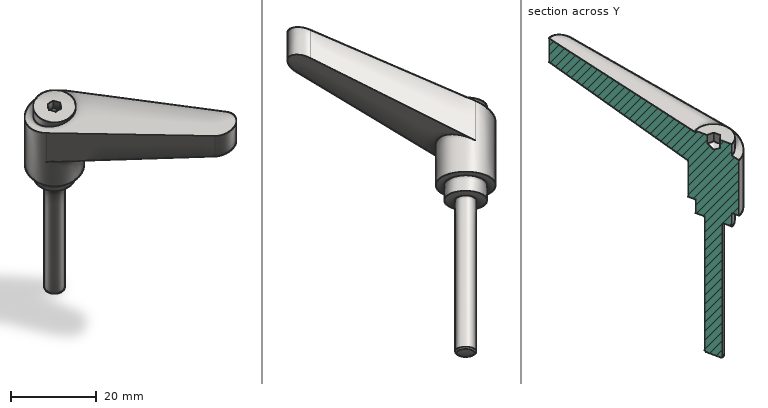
import cadquery as cq
import math

stud_diameter = 5.0
stud_length = 40.0
stud_chamfer = 0.4

collar_diameter = 10.0
collar_height = 4.0

hub_radius = 7.0

arm_reach = 45.0
arm_tip_radius = 4.0
arm_tip_top = 35.69
arm_tip_height = 7.15
arm_top_angle = 16.25
arm_bottom_angle = 20.0

cap_diameter = 10.0
cap_top = 24.5

hex_sides = 6
hex_across_flats = 3.0
hex_depth = 2.5
hex_floor_angle = 118.0

tip_center_x = arm_reach - arm_tip_radius
taper_sine = (hub_radius - arm_tip_radius) / tip_center_x
taper_cosine = math.sqrt(1 - taper_sine**2)
hex_across_corners = hex_across_flats / math.cos(math.pi / hex_sides)


def arm_top(x):
    """Height of the sloping top face at x."""
    return arm_tip_top - (arm_reach - x) * math.tan(math.radians(arm_top_angle))


def arm_bottom(x):
    """Height of the sloping bottom face at x."""
    drop = (arm_reach - x) * math.tan(math.radians(arm_bottom_angle))
    return arm_tip_top - arm_tip_height - drop


def cylinder(diameter, bottom, top):
    return cq.Workplane("XY").workplane(offset=bottom).circle(diameter / 2).extrude(top - bottom)


def side_profile(points):
    """Prism through the full width of the hub from an outline in the XZ plane."""
    return cq.Workplane("XZ").polyline(points).close().extrude(hub_radius, both=True)


def make_stud():
    return cylinder(stud_diameter, -stud_length, 0).faces("<Z").chamfer(stud_chamfer)


def make_hub():
    """Round hub cut off on top by the slope of the arm."""
    column = cylinder(2 * hub_radius, collar_height, arm_tip_top)
    slope = side_profile([
        (-hub_radius, collar_height),
        (hub_radius, collar_height),
        (hub_radius, arm_top(hub_radius)),
        (-hub_radius, arm_top(-hub_radius)),
    ])
    return column.intersect(slope)


def make_arm():
    """Arm with tangent tapering sides, from the tangent line on the hub to the round tip."""
    hub_x = hub_radius * taper_sine
    hub_y = hub_radius * taper_cosine
    tip_x = tip_center_x + arm_tip_radius * taper_sine
    tip_y = arm_tip_radius * taper_cosine
    plan = (
        cq.Workplane("XY")
        .moveTo(hub_x, -hub_y)
        .lineTo(tip_x, -tip_y)
        .threePointArc((arm_reach, 0), (tip_x, tip_y))
        .lineTo(hub_x, hub_y)
        .close()
        .extrude(arm_tip_top)
    )
    slope = side_profile([
        (hub_x, arm_bottom(hub_x)),
        (arm_reach, arm_bottom(arm_reach)),
        (arm_reach, arm_top(arm_reach)),
        (hub_x, arm_top(hub_x)),
    ])
    return plan.intersect(slope)


def make_socket():
    """Hexagonal socket with corners along X, ending in a conical floor."""
    prism_depth = hex_depth + hex_across_corners
    prism = (
        cq.Workplane("XY")
        .workplane(offset=cap_top - prism_depth)
        .polygon(hex_sides, hex_across_corners)
        .extrude(prism_depth)
    )
    corner_radius = hex_across_corners / 2
    cone_depth = corner_radius / math.tan(math.radians(hex_floor_angle / 2))
    pencil_point = (
        cq.Workplane("XZ")
        .moveTo(0, cap_top)
        .lineTo(corner_radius, cap_top)
        .lineTo(corner_radius, cap_top - hex_depth)
        .lineTo(0, cap_top - hex_depth - cone_depth)
        .close()
        .revolve(360, (0, 0), (0, 1))
    )
    return prism.intersect(pencil_point)


collar = cylinder(collar_diameter, 0, collar_height)
cap = cylinder(cap_diameter, collar_height, cap_top)
result = make_stud().union(collar).union(make_hub()).union(make_arm()).union(cap).cut(make_socket())